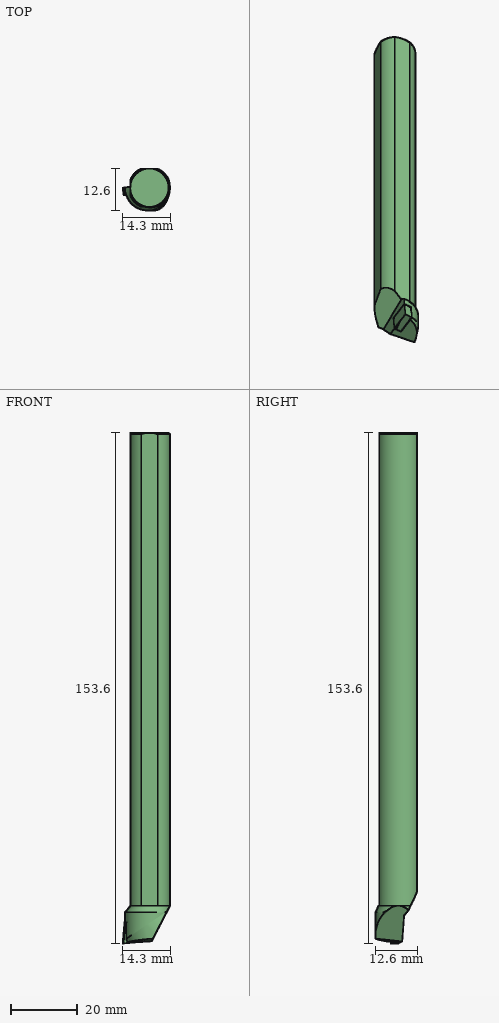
import cadquery as cq
import math

TOTAL_LENGTH = 153.6
TOTAL_WIDTH = 14.3
TOTAL_DEPTH = 12.6
SHANK_DIAMETER = 12.5
SHANK_RADIUS = SHANK_DIAMETER / 2
FLAT_WIDTH = 4.9
FLAT_DISTANCE = math.sqrt(SHANK_RADIUS**2 - (FLAT_WIDTH / 2) ** 2)
TOP_CHAMFER = 0.5
SHANK_BOTTOM = 11.4

HEAD_RADIUS = TOTAL_DEPTH - FLAT_DISTANCE
HEAD_OFFSET = -0.5
FLARE_BOTTOM = 9.4
CREASE_HEIGHT = 5.8
CREASE_ANGLE = 34.0
LOWER_LEAN = 25.0
BACK_TOP_X = SHANK_RADIUS
BACK_FOOT_X = 1.2
BACK_FOOT_Z = 1.7
END_SLOPE_X = 4.5
END_SLOPE_Y = 6.0
END_CLEARANCE = 0.08

TIP_X = SHANK_RADIUS - TOTAL_WIDTH
RAKE_ANGLE = 8.0
INSERT_EDGE = 6.5
INSERT_CORNER = 80.0
INSERT_LEAN = 5.0
INSERT_THICKNESS = 2.3

RAMP_TOP_Z = 16.9
RAMP_ANGLE = 31.0
RAMP_SIDE_ANGLE = 17.0

LARGE = 61.5


def half_space(origin, normal):
    """Block filling the side of a plane that its normal points to."""
    plane = cq.Plane(origin=origin, normal=normal)
    return cq.Workplane(plane).rect(LARGE, LARGE).extrude(LARGE)


def make_shank():
    length = TOTAL_LENGTH - SHANK_BOTTOM
    shank = (
        cq.Workplane("XY", origin=(0, 0, SHANK_BOTTOM))
        .circle(SHANK_RADIUS)
        .extrude(length)
        .faces(">Z")
        .chamfer(TOP_CHAMFER)
    )
    flats = cq.Workplane("XY").box(
        FLAT_DISTANCE + SHANK_RADIUS, 2 * FLAT_DISTANCE, length, centered=(False, True, False)
    ).translate((-FLAT_DISTANCE, 0, SHANK_BOTTOM))
    return shank.intersect(flats)


def make_head():
    flare_radius = (SHANK_RADIUS + FLAT_DISTANCE) / 2
    flare_offset = (SHANK_RADIUS - FLAT_DISTANCE) / 2
    flare = (
        cq.Workplane("XY", origin=(flare_offset, 0, SHANK_BOTTOM))
        .circle(flare_radius)
        .workplane(offset=FLARE_BOTTOM - SHANK_BOTTOM)
        .center(HEAD_OFFSET - flare_offset, 0)
        .circle(HEAD_RADIUS)
        .loft()
    )

    slope = math.radians(CREASE_ANGLE)
    mitre_plane = cq.Plane(
        origin=(HEAD_OFFSET, 0, CREASE_HEIGHT),
        xDir=(math.cos(slope), 0, math.sin(slope)),
        normal=(-math.sin(slope), 0, math.cos(slope)),
    )
    above_mitre = half_space(mitre_plane.origin, mitre_plane.zDir)
    upper = (
        cq.Workplane("XY", origin=(HEAD_OFFSET, 0, FLARE_BOTTOM))
        .circle(HEAD_RADIUS)
        .extrude(-2 * FLARE_BOTTOM)
        .intersect(above_mitre)
    )

    lean = math.radians(LOWER_LEAN)
    section = cq.Workplane(mitre_plane).ellipse(HEAD_RADIUS / math.cos(slope), HEAD_RADIUS)
    drop = 2 * FLARE_BOTTOM
    lower = cq.Solid.extrudeLinear(section.wire().val(), [], cq.Vector(drop * math.tan(lean), 0, -drop))
    head = upper.union(cq.Workplane(lower)).union(flare)

    back_normal = (SHANK_BOTTOM - BACK_FOOT_Z, 0, BACK_FOOT_X - BACK_TOP_X)
    head = head.cut(half_space((BACK_TOP_X, 0, SHANK_BOTTOM), back_normal))

    end_normal = (math.tan(math.radians(END_SLOPE_X)), -math.tan(math.radians(END_SLOPE_Y)), -1)
    return head.cut(half_space((TIP_X, 0, END_CLEARANCE), end_normal))


def rake_normal():
    angle = math.radians(RAKE_ANGLE)
    return cq.Vector(-math.sin(angle), math.cos(angle), 0)


def cut_chip_space(body):
    """Clear the volume above the ramp and the rake face."""
    above_rake = half_space((TIP_X, 0, 0), rake_normal())
    lean = math.radians(RAMP_ANGLE)
    turn = math.radians(RAMP_SIDE_ANGLE)
    ramp_normal = (
        -math.cos(lean) * math.sin(turn),
        math.cos(lean) * math.cos(turn),
        -math.sin(lean),
    )
    above_ramp = half_space((0, FLAT_DISTANCE, RAMP_TOP_Z), ramp_normal)
    return body.cut(above_rake.intersect(above_ramp))


def make_insert():
    """Rhombic insert whose top face lies in the rake face."""
    angle = math.radians(RAKE_ANGLE)
    along_rake = (math.cos(angle), math.sin(angle), 0)
    seat = cq.Plane(origin=(TIP_X, 0, 0), xDir=along_rake, normal=-rake_normal())
    low = math.radians(INSERT_LEAN)
    high = math.radians(INSERT_LEAN + INSERT_CORNER)
    low_edge = (INSERT_EDGE * math.cos(low), INSERT_EDGE * math.sin(low))
    high_edge = (INSERT_EDGE * math.cos(high), INSERT_EDGE * math.sin(high))
    far_corner = (low_edge[0] + high_edge[0], low_edge[1] + high_edge[1])
    return (
        cq.Workplane(seat)
        .polyline([(0, 0), low_edge, far_corner, high_edge])
        .close()
        .extrude(INSERT_THICKNESS)
    )


insert = make_insert()
bar = cut_chip_space(make_shank().union(make_head())).cut(insert)

result = cq.Compound.makeCompound([bar.val(), insert.val()])